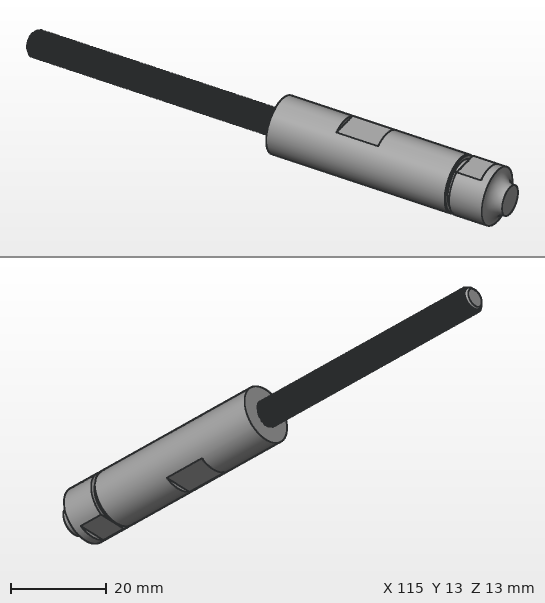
import cadquery as cq
import math


overall_length = 115.0
body_radius = 6.5

rod_length = 60.0
rod_radius = 3.0
rod_chamfer = 0.9
thread_turns = 75
thread_pitch = rod_length / thread_turns
thread_depth = 0.5
thread_root_radius = rod_radius - thread_depth
crest_angle = 45.0
root_angle = 90.0
thread_start_angle = -157.0
tip_turns = 2
chamfer_clearance = 0.1
flank_points = 12

sleeve_chamfer = 0.2
neck_start = 103.2
neck_length = 0.9
neck_depth = 0.98
neck_radius = body_radius - neck_depth
head_start = neck_start + neck_length

nose_radius = 3.1

sleeve_flat_start = 75.2
sleeve_flat_length = 10.0
head_flat_length = 5.9


def polar_point(radius, angle):
    """Point of the thread cross section, with the angle measured from the crest."""
    direction = math.radians(thread_start_angle + angle)
    return (radius * math.cos(direction), radius * math.sin(direction))


def flank_point(side, drop):
    """Point on a flank; drop runs from 0 at the crest to 1 at the root."""
    crest_end = crest_angle / 2
    root_end = 180 - root_angle / 2
    angle = crest_end + (root_end - crest_end) * drop
    return polar_point(rod_radius - thread_depth * drop, side * angle)


def thread_length(turns):
    """Cross section of the thread, twisted through whole turns from the plane X = 0."""
    drops = [step / flank_points for step in range(1, flank_points + 1)]
    falling_flank = [flank_point(1, drop) for drop in drops]
    rising_flank = [flank_point(-1, 1 - drop) for drop in drops]
    section = (
        cq.Workplane("YZ")
        .moveTo(*flank_point(-1, 0))
        .threePointArc(polar_point(rod_radius, 0), flank_point(1, 0))
        .spline(falling_flank, includeCurrent=True)
        .threePointArc(polar_point(thread_root_radius, 180), flank_point(-1, 1))
        .spline(rising_flank, includeCurrent=True)
        .close()
    )
    return section.twistExtrude(turns * thread_pitch, turns * 360)


def chamfered_tip():
    """First turns of the thread, with the chamfer at the free end."""
    blank = cq.Workplane("YZ").circle(rod_radius + chamfer_clearance).extrude(tip_turns * thread_pitch)
    blank = blank.faces("<X").chamfer(rod_chamfer + chamfer_clearance)
    return thread_length(tip_turns).intersect(blank)


def thread_shank():
    """Remaining turns: the faces of one turn repeated along X and closed by two flat ends."""
    one_turn = thread_length(1)
    starts = [cq.Vector(turn * thread_pitch, 0, 0) for turn in range(tip_turns, thread_turns)]
    faces = [face.translate(start) for start in starts for face in one_turn.faces("not %PLANE").vals()]
    faces.append(one_turn.faces("<X").val().translate(starts[0]))
    faces.append(one_turn.faces(">X").val().translate(starts[-1]))
    return cq.Workplane(cq.Solid.makeSolid(cq.Shell.makeShell(faces)))


def turned_body():
    """Sleeve, neck, head and concave nose, revolved about the X axis."""
    arc_middle = nose_radius / 2**0.5
    profile = (
        cq.Workplane("XY")
        .moveTo(rod_length, 0)
        .lineTo(rod_length, -body_radius)
        .lineTo(neck_start - sleeve_chamfer, -body_radius)
        .lineTo(neck_start, -(body_radius - sleeve_chamfer))
        .lineTo(neck_start, -neck_radius)
        .lineTo(head_start, -neck_radius)
        .lineTo(head_start, -body_radius)
        .lineTo(overall_length - nose_radius, -body_radius)
        .threePointArc(
            (overall_length - arc_middle, -(body_radius - arc_middle)),
            (overall_length, -(body_radius - nose_radius)),
        )
        .lineTo(overall_length, 0)
        .close()
    )
    return profile.revolve(360, (0, 0, 0), (1, 0, 0))


def cut_flats(body, start, length):
    """Mill one flat on top of the body and one opposite it."""
    for side in (1, -1):
        milled = cq.Workplane("XY").box(length, 2 * body_radius, neck_depth, centered=(False, True, True))
        body = body.cut(milled.translate((start, 0, side * (neck_radius + neck_depth / 2))))
    return body


body = turned_body()
body = cut_flats(body, sleeve_flat_start, sleeve_flat_length)
body = cut_flats(body, head_start, head_flat_length)
result = chamfered_tip().union(thread_shank()).union(body)